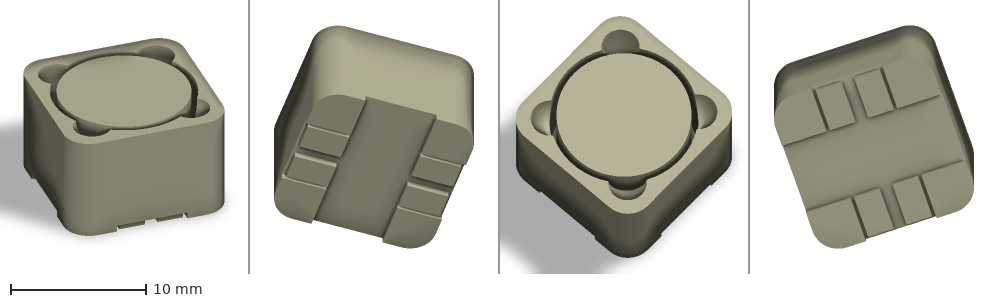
import cadquery as cq

side = 12.5
height = 8.0
corner_radius = 2.0

channel_width = 5.54
channel_depth = 0.5

core_radius = 5.0
core_gap = 0.5
cavity_radius = core_radius + core_gap
floor_thickness = 0.5
cavity_floor_z = channel_depth + floor_thickness
cavity_depth = height - cavity_floor_z

pocket_radius = 1.41
pocket_spacing = cavity_radius * 2 ** 0.5

pad_width = 2.0
pad_gap = 1.0
pad_setback = 0.25
pad_length = (side - channel_width) / 2 - pad_setback
pad_x = (channel_width + pad_length) / 2
pad_y = (pad_gap + pad_width) / 2


def make_underside_cross():
    """Two channels crossing under the housing, along X and along Y."""
    along_x = cq.Workplane("XY").rect(side, channel_width).extrude(channel_depth)
    along_y = cq.Workplane("XY").rect(channel_width, side).extrude(channel_depth)
    return along_x.union(along_y)


def make_housing():
    """Rounded square block with a round cavity, rim pockets and crossed channels."""
    block = cq.Workplane("XY").rect(side, side).extrude(height).edges("|Z").fillet(corner_radius)
    cavity = cq.Workplane("XY", origin=(0, 0, cavity_floor_z)).circle(cavity_radius).extrude(cavity_depth)
    pockets = (
        cq.Workplane("XY", origin=(0, 0, height))
        .rarray(pocket_spacing, pocket_spacing, 2, 2)
        .sphere(pocket_radius)
    )
    return block.cut(cavity).cut(pockets).cut(make_underside_cross())


def make_core():
    """Solid cylinder from the cavity floor to the top of the housing."""
    return cq.Workplane("XY", origin=(0, 0, cavity_floor_z)).circle(core_radius).extrude(cavity_depth)


def make_pad(x, y):
    """One rectangular terminal pad centred at (x, y)."""
    return cq.Workplane("XY", origin=(x, y, 0)).rect(pad_length, pad_width).extrude(channel_depth)


housing = make_housing()
core = make_core()
pads = [make_pad(x, y) for x in (-pad_x, pad_x) for y in (-pad_y, pad_y)]

result = cq.Compound.makeCompound([housing.solids().val(), core.val(), *[pad.val() for pad in pads]])